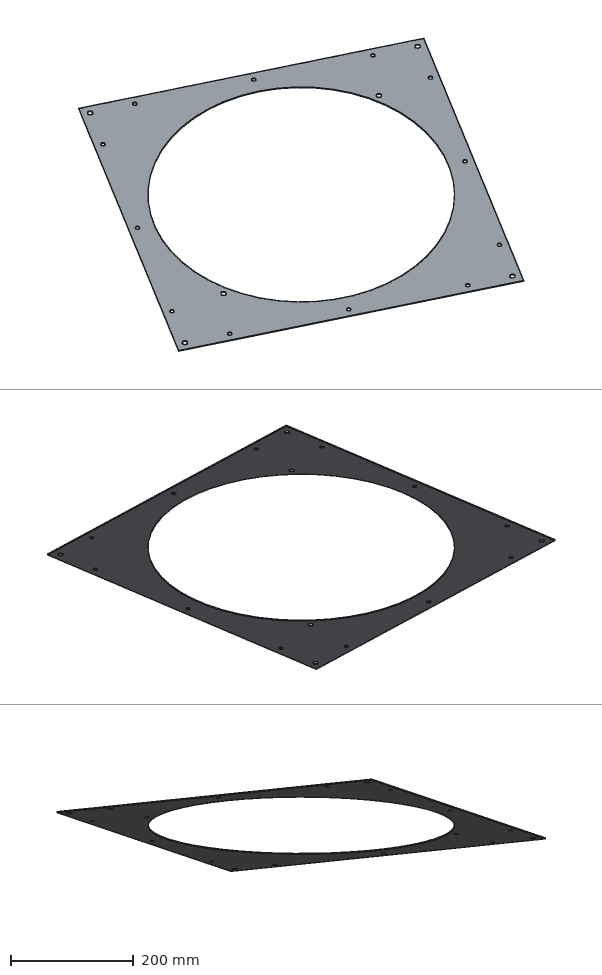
import cadquery as cq

side = 586.0
thickness = 2.0
opening_diameter = 500.0

border_hole_span = 556.0
corner_hole_diameter = 9.0
edge_hole_diameter = 7.0
edge_hole_spacing = 202.0

diagonal_hole_diameter = 9.0
diagonal_hole_offset = 186.0

border = border_hole_span / 2


def round_holes(plate, points, diameter):
    """Drill round holes through the plate, at points measured from its centre."""
    return plate.faces(">Z").workplane(origin=(0, 0, 0)).pushPoints(points).hole(diameter)


plate = cq.Workplane("XY").box(side, side, thickness)
plate = round_holes(plate, [(0, 0)], opening_diameter)

corners = [(x, y) for x in (-border, border) for y in (-border, border)]
plate = round_holes(plate, corners, corner_hole_diameter)

edge_points = []
for edge in (-border, border):
    for station in (-edge_hole_spacing, 0, edge_hole_spacing):
        edge_points.append((station, edge))
        edge_points.append((edge, station))
plate = round_holes(plate, edge_points, edge_hole_diameter)

diagonal_points = [
    (-diagonal_hole_offset, diagonal_hole_offset),
    (diagonal_hole_offset, -diagonal_hole_offset),
]
plate = round_holes(plate, diagonal_points, diagonal_hole_diameter)

result = plate